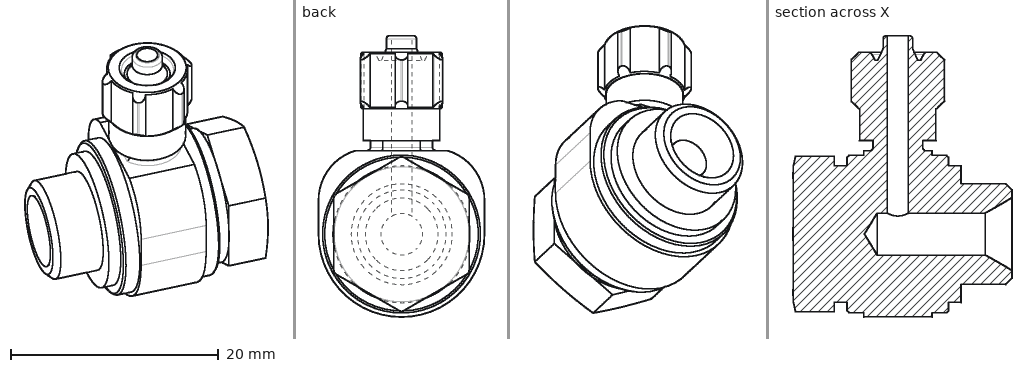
import cadquery as cq
import math


BODY_RADIUS = 8.0
BODY_HALF_WIDTH = 3.3
BODY_TOP = 8.04
SHOULDER_RADIUS = 5.0
SIDE_FLAT_TOP = 3.25

COLLAR_D = 15.2
COLLAR_HALF_WIDTH = 4.9
COLLAR_CHAMFER = 0.2
WASHER_D = 13.2
WASHER_HALF_WIDTH = 6.1
THREAD_D = 9.73
THREAD_LENGTH = 4.9
THREAD_CHAMFER = 0.6
HEX_ACROSS_FLATS = 13.0
HEX_HEIGHT = 4.0
HEX_CHAMFER_HEIGHT = 0.25

MAIN_BORE_D = 4.0
MOUTH_D = 7.0
MOUTH_HALF_ANGLE = 30.0
MAIN_BORE_END = 2.0
DRILL_HALF_ANGLE = 59.0
STEM_BORE_D = 2.0

NECK_D = 6.0
NECK_FLAT_HALF_WIDTH = 2.4
NECK_FILLET = 0.3

SLEEVE_D = 7.4
SLEEVE_BOTTOM = 9.0
NUT_D = 7.8
NUT_BOTTOM = 12.04
NUT_TOP = 17.52
NUT_EDGE_CHAMFER = 0.15
RIB_COUNT = 6
RIB_WIDTH = 1.24
RIB_TIP_FLAT = 0.08
RIB_ROOT_RADIUS = 3.2
RIB_TIP_RADIUS = 4.5
RECESS_FLOOR = 16.75
RECESS_FLOOR_D = 4.4
RECESS_D = 5.0
RECESS_RIM_D = 5.4
RECESS_RIM_DEPTH = 0.2

NIPPLE_D = 2.9
NIPPLE_TOP = 19.1
NIPPLE_FILLET = 0.3
CONE_TOP = 17.85
CONE_BASE_D = 3.9

OVERLAP = 0.5


def cone_depth(large_d, small_d, half_angle):
    return (large_d - small_d) / 2 / math.tan(math.radians(half_angle))


def cylinder_y(diameter, y_start, y_end):
    """Cylinder on the Y axis."""
    plane = cq.Workplane("XZ", origin=(0, y_end, 0))
    return plane.circle(diameter / 2).extrude(y_end - y_start)


def cylinder_z(diameter, z_start, z_end):
    """Cylinder on the Z axis."""
    plane = cq.Workplane("XY", origin=(0, 0, z_start))
    return plane.circle(diameter / 2).extrude(z_end - z_start)


def revolve_y(points):
    """Solid of revolution about Y from (radius, y) points."""
    return cq.Workplane("XY").polyline(points).close().revolve(360, (0, 0), (0, 1))


def revolve_z(points):
    """Solid of revolution about Z from (radius, z) points."""
    return cq.Workplane("XZ").polyline(points).close().revolve(360, (0, 0), (0, 1))


def make_body():
    """Round ring with a flat top, rounded shoulders and vertical sides."""
    arc_center_x = BODY_RADIUS - SHOULDER_RADIUS
    rise = BODY_TOP - SIDE_FLAT_TOP
    top_half_width = arc_center_x + math.sqrt(SHOULDER_RADIUS**2 - rise**2)
    mid_angle = math.asin(rise / SHOULDER_RADIUS) / 2
    mid_x = arc_center_x + SHOULDER_RADIUS * math.cos(mid_angle)
    mid_z = SIDE_FLAT_TOP + SHOULDER_RADIUS * math.sin(mid_angle)
    return (
        cq.Workplane("XZ")
        .moveTo(-BODY_RADIUS, 0)
        .threePointArc((0, -BODY_RADIUS), (BODY_RADIUS, 0))
        .lineTo(BODY_RADIUS, SIDE_FLAT_TOP)
        .threePointArc((mid_x, mid_z), (top_half_width, BODY_TOP))
        .lineTo(-top_half_width, BODY_TOP)
        .threePointArc((-mid_x, mid_z), (-BODY_RADIUS, SIDE_FLAT_TOP))
        .close()
        .extrude(BODY_HALF_WIDTH, both=True)
    )


def make_hex_head():
    """Hexagon with corners on +Z and -Z, its outer corners turned to a cone."""
    corner_radius = HEX_ACROSS_FLATS / 2 / math.cos(math.radians(30))
    head_end = WASHER_HALF_WIDTH + HEX_HEIGHT
    hexagon = (
        cq.Workplane("XZ", origin=(0, head_end, 0))
        .transformed(rotate=(0, 0, 90))
        .polygon(6, 2 * corner_radius)
        .extrude(HEX_HEIGHT)
    )
    envelope = revolve_y([
        (0, WASHER_HALF_WIDTH),
        (corner_radius, WASHER_HALF_WIDTH),
        (corner_radius, head_end - HEX_CHAMFER_HEIGHT),
        (HEX_ACROSS_FLATS / 2, head_end),
        (0, head_end),
    ])
    return hexagon.intersect(envelope)


def make_bolt():
    """Collars, sealing washers, male thread stub and hexagon head."""
    collar = cylinder_y(COLLAR_D, -COLLAR_HALF_WIDTH, COLLAR_HALF_WIDTH)
    collar = collar.edges().chamfer(COLLAR_CHAMFER)
    washers = cylinder_y(WASHER_D, -WASHER_HALF_WIDTH, WASHER_HALF_WIDTH)
    thread = cylinder_y(THREAD_D, -WASHER_HALF_WIDTH - THREAD_LENGTH, 0)
    thread = thread.faces("<Y").edges().chamfer(THREAD_CHAMFER)
    return collar.union(washers).union(thread).union(make_hex_head())


def add_neck(body):
    """Neck with flats facing -Y and +Y, filleted onto the top of the body."""
    neck = cylinder_z(NECK_D, BODY_TOP - OVERLAP, SLEEVE_BOTTOM + OVERLAP)
    flats = cq.Workplane("XY").box(
        2 * NECK_D, 2 * NECK_FLAT_HALF_WIDTH, 2 * (SLEEVE_BOTTOM + OVERLAP)
    )
    joined = body.union(neck.intersect(flats))
    half_x = NECK_D / 2 + OVERLAP / 2
    half_y = NECK_FLAT_HALF_WIDTH + OVERLAP / 2
    root = cq.selectors.BoxSelector(
        (-half_x, -half_y, BODY_TOP - OVERLAP / 2),
        (half_x, half_y, BODY_TOP + OVERLAP / 2),
    )
    return joined.edges(root).fillet(NECK_FILLET)


def make_rib():
    """Grip rib on the +Y side, its rounded edges leaving a narrow flat tip."""
    return (
        cq.Workplane("XY", origin=(0, 0, NUT_BOTTOM))
        .center(0, (RIB_ROOT_RADIUS + RIB_TIP_RADIUS) / 2)
        .rect(RIB_WIDTH, RIB_TIP_RADIUS - RIB_ROOT_RADIUS)
        .extrude(NUT_TOP - NUT_BOTTOM)
        .faces(">Y")
        .edges("|Z")
        .fillet((RIB_WIDTH - RIB_TIP_FLAT) / 2)
    )


def make_nut():
    """Ribbed union nut with a lower sleeve and a tapered top recess."""
    nut = cylinder_z(NUT_D, NUT_BOTTOM, NUT_TOP)
    rib = make_rib()
    for index in range(RIB_COUNT):
        nut = nut.union(rib.rotate((0, 0, 0), (0, 0, 1), index * 360 / RIB_COUNT))
    end_radius = NUT_D / 2 - NUT_EDGE_CHAMFER
    rib_chamfer = RIB_TIP_RADIUS - end_radius
    envelope = revolve_z([
        (0, NUT_BOTTOM),
        (end_radius, NUT_BOTTOM),
        (RIB_TIP_RADIUS, NUT_BOTTOM + rib_chamfer),
        (RIB_TIP_RADIUS, NUT_TOP - rib_chamfer),
        (end_radius, NUT_TOP),
        (0, NUT_TOP),
    ])
    recess = revolve_z([
        (0, RECESS_FLOOR),
        (RECESS_FLOOR_D / 2, RECESS_FLOOR),
        (RECESS_D / 2, NUT_TOP - RECESS_RIM_DEPTH),
        (RECESS_RIM_D / 2, NUT_TOP),
        (0, NUT_TOP),
    ])
    sleeve = cylinder_z(SLEEVE_D, SLEEVE_BOTTOM, NUT_BOTTOM)
    return nut.intersect(envelope).cut(recess).union(sleeve)


def make_nipple():
    """Round-ended hose tip standing on a cone in the nut recess."""
    tip = cylinder_z(NIPPLE_D, RECESS_FLOOR, NIPPLE_TOP)
    tip = tip.faces(">Z").edges().fillet(NIPPLE_FILLET)
    cone = revolve_z([
        (0, RECESS_FLOOR - OVERLAP),
        (CONE_BASE_D / 2, RECESS_FLOOR - OVERLAP),
        (CONE_BASE_D / 2, RECESS_FLOOR),
        (NIPPLE_D / 2, CONE_TOP),
        (0, CONE_TOP),
    ])
    return tip.union(cone)


def make_bores():
    """Blind main bore with a conical mouth, met by the stem bore."""
    front = -WASHER_HALF_WIDTH - THREAD_LENGTH
    main_bore = revolve_y([
        (0, front),
        (MOUTH_D / 2, front),
        (MAIN_BORE_D / 2, front + cone_depth(MOUTH_D, MAIN_BORE_D, MOUTH_HALF_ANGLE)),
        (MAIN_BORE_D / 2, MAIN_BORE_END),
        (0, MAIN_BORE_END + cone_depth(MAIN_BORE_D, 0, DRILL_HALF_ANGLE)),
    ])
    stem_bore = cylinder_z(STEM_BORE_D, 0, NIPPLE_TOP)
    return main_bore.union(stem_bore)


fitting = add_neck(make_body()).union(make_bolt())
fitting = fitting.union(make_nut()).union(make_nipple())
result = fitting.cut(make_bores())